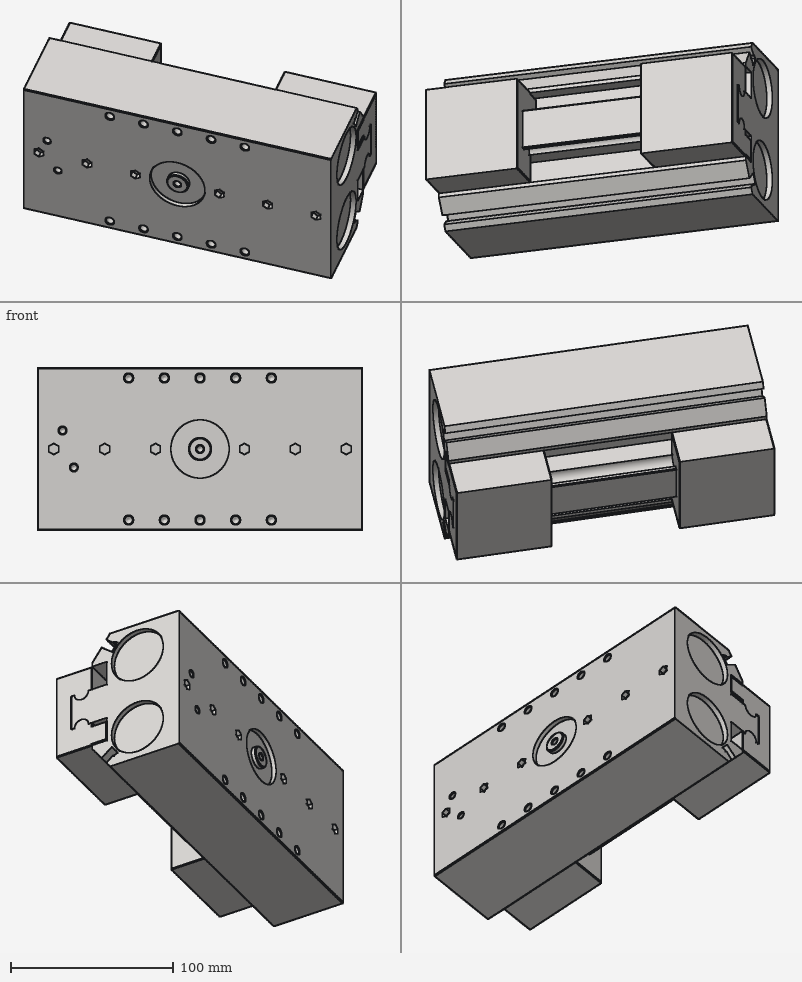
import cadquery as cq
import math


LENGTH = 200.0
DEPTH = 88.0
WIDTH = 100.0

FLANGE_Y = 62.5
CHANNEL_Y = 52.0
CHANNEL_WIDTH = 59.2
FRONT_CHAMFER = 0.5

END_RECESS_RADIUS = 18.5
END_RECESS_DEPTH = 3.5
END_RECESS_Y = 30.0
END_RECESS_Z = 27.0

RAIL_WIDTH = 25.0
RAIL_SEAT_Y = 47.8
RAIL_TOP_Y = 77.5
RAIL_CHAMFER = 0.5
GROOVE_RADIUS = 5.0
GROOVE_Y = 70.0

BOSS_RECESS_DIAMETER = 36.0
BOSS_RECESS_DEPTH = 3.0
BOSS_DIAMETER = 14.0
BOSS_CHAMFER = 0.5

DRILL_POINT_ANGLE = 118.0
HOLE_CHAMFER = 0.5
MOUNT_HOLE_DIAMETER = 5.0
MOUNT_HOLE_DEPTH = 12.0
MOUNT_HOLE_PITCH = 22.0
MOUNT_HOLE_COUNT = 5
MOUNT_ROW_Z = 43.8
SMALL_HOLE_DIAMETER = 4.2
SMALL_HOLE_DEPTH = 10.0
SIDE_HOLES = [(-84.8, 11.5), (-77.8, -11.5)]

SCREW_HEAD_DIAMETER = 13.5
SCREW_HEAD_HEIGHT = 6.0
SOCKET_ACROSS_FLATS = 6.0
SOCKET_DEPTH = 4.0
SCREW_FIRST_X = 27.5
SCREW_PITCH = 31.5
SCREWS_PER_SIDE = 3

CARRIAGE_LENGTH = 60.0
CARRIAGE_CHAMFER = 0.5
LEG_INNER_Z = 15.0
LEG_OUTER_Z = 28.8


def extrude_along_x(section, length):
    """Extrude a YZ section so that it is centred on X = 0."""
    return section.extrude(length).translate((-length / 2, 0, 0))


def bar(length, y_low, y_high, z_low, z_high):
    """Box centred on X = 0 between the given Y and Z limits."""
    size = (length, y_high - y_low, z_high - z_low)
    return cq.Workplane("XY").box(*size).translate((0, (y_low + y_high) / 2, (z_low + z_high) / 2))


def rod_pair(length):
    """Two round bars along X, centred on the flanks of the rail."""
    centres = [(GROOVE_Y, -RAIL_WIDTH / 2), (GROOVE_Y, RAIL_WIDTH / 2)]
    return extrude_along_x(cq.Workplane("YZ").pushPoints(centres).circle(GROOVE_RADIUS), length)


def turned_about_y(profile, x, z):
    """Revolve a (radius, depth) profile about an axis parallel to Y through (x, z)."""
    turned = cq.Workplane("XY").polyline(profile).close().revolve(360, (0, 0, 0), (0, 1, 0))
    return turned.translate((x, 0, z))


def drilled_hole(x, z, diameter, depth):
    """Cutter for a blind drilled hole from Y = 0, with a chamfered mouth and a conical end."""
    radius = diameter / 2
    point_depth = radius / math.tan(math.radians(DRILL_POINT_ANGLE / 2))
    profile = [
        (0, 0),
        (radius + HOLE_CHAMFER, 0),
        (radius, HOLE_CHAMFER),
        (radius, depth),
        (0, depth + point_depth),
    ]
    return turned_about_y(profile, x, z)


def housing_blank():
    """Symmetric housing section with a dovetail-like slot along each side."""
    half_section = [
        (0, WIDTH / 2 - FRONT_CHAMFER),
        (FRONT_CHAMFER, WIDTH / 2),
        (49.5, WIDTH / 2),
        (52.2, 46.5),
        (47.5, 42.5),
        (47.0, 43.0),
        (44.2, 41.5),
        (48.2, 35.8),
        (55.5, 41.5),
        (FLANGE_Y, 32.2),
        (FLANGE_Y, CHANNEL_WIDTH / 2),
        (CHANNEL_Y, CHANNEL_WIDTH / 2),
    ]
    other_half = [(y, -z) for y, z in reversed(half_section)]
    return extrude_along_x(cq.Workplane("YZ").polyline(half_section + other_half).close(), LENGTH)


def rail_bar():
    """Rail outline along the full length, before its grooves and end chamfers."""
    blank = bar(LENGTH, RAIL_SEAT_Y, RAIL_TOP_Y, -RAIL_WIDTH / 2, RAIL_WIDTH / 2)
    return blank.edges("|X and >Y").chamfer(RAIL_CHAMFER)


def make_rail():
    """Rail with a round groove along each flank."""
    rail = rail_bar().faces(">Y").edges("|Z").chamfer(RAIL_CHAMFER)
    return rail.cut(rod_pair(LENGTH))


def end_recess(x, z):
    """Cutter for a shallow round recess in a housing end, centred on that end face."""
    recess = cq.Workplane("YZ").center(END_RECESS_Y, z).circle(END_RECESS_RADIUS)
    return recess.extrude(END_RECESS_DEPTH, both=True).translate((x, 0, 0))


def boss_ring():
    """Cutter for the central recess that leaves its chamfered boss standing."""
    boss_radius = BOSS_DIAMETER / 2
    recess_radius = BOSS_RECESS_DIAMETER / 2
    profile = [
        (boss_radius - BOSS_CHAMFER, 0),
        (recess_radius, 0),
        (recess_radius, BOSS_RECESS_DEPTH),
        (boss_radius, BOSS_RECESS_DEPTH),
        (boss_radius, BOSS_CHAMFER),
    ]
    return turned_about_y(profile, 0, 0)


def screw_head(x):
    """Solid cylinder of a screw head, its outer face on the mounting face."""
    return cq.Workplane("XZ").center(x, 0).circle(SCREW_HEAD_DIAMETER / 2).extrude(-SCREW_HEAD_HEIGHT)


def hexagon_socket(x):
    """Cutter for a hexagon socket with two upright sides."""
    across_corners = SOCKET_ACROSS_FLATS / math.cos(math.pi / 6)
    sketch_plane = cq.Workplane("XZ").center(x, 0).transformed(rotate=(0, 0, 30))
    return sketch_plane.polygon(6, across_corners).extrude(-SOCKET_DEPTH)


def make_housing():
    """Housing with its rail and rail screws as one body."""
    housing = housing_blank()

    for x in (-LENGTH / 2, LENGTH / 2):
        for z in (-END_RECESS_Z, END_RECESS_Z):
            housing = housing.cut(end_recess(x, z))

    housing = housing.cut(boss_ring())
    housing = housing.cut(drilled_hole(0, 0, SMALL_HOLE_DIAMETER, SMALL_HOLE_DEPTH))

    for x, z in SIDE_HOLES:
        housing = housing.cut(drilled_hole(x, z, SMALL_HOLE_DIAMETER, SMALL_HOLE_DEPTH))
    for i in range(MOUNT_HOLE_COUNT):
        x = (i - (MOUNT_HOLE_COUNT - 1) / 2) * MOUNT_HOLE_PITCH
        for z in (-MOUNT_ROW_Z, MOUNT_ROW_Z):
            housing = housing.cut(drilled_hole(x, z, MOUNT_HOLE_DIAMETER, MOUNT_HOLE_DEPTH))

    rail = make_rail()
    housing = housing.cut(rail).union(rail, clean=False)

    for i in range(SCREWS_PER_SIDE):
        for side in (-1, 1):
            x = side * (SCREW_FIRST_X + i * SCREW_PITCH)
            head = screw_head(x)
            housing = housing.cut(head, clean=False)
            housing = housing.union(head.cut(hexagon_socket(x)), clean=False)
    return housing


def make_carriage(x_centre, leg_side):
    """Block astride the rail with one leg reaching into the channel on the given Z side."""
    half_width = CHANNEL_WIDTH / 2
    block = bar(CARRIAGE_LENGTH, FLANGE_Y, DEPTH, -half_width, half_width)
    z_low, z_high = sorted((leg_side * LEG_INNER_Z, leg_side * LEG_OUTER_Z))
    leg = bar(CARRIAGE_LENGTH, CHANNEL_Y, RAIL_TOP_Y, z_low, z_high)
    tongues = rod_pair(CARRIAGE_LENGTH)
    carriage = block.union(leg).faces("<X or >X").edges().chamfer(CARRIAGE_CHAMFER)
    carriage = carriage.cut(rail_bar().translate((-x_centre, 0, 0))).cut(tongues)
    return carriage.union(tongues, clean=False).translate((x_centre, 0, 0))


carriage_x = (LENGTH - CARRIAGE_LENGTH) / 2
housing = make_housing()
carriages = [make_carriage(side * carriage_x, side) for side in (-1, 1)]

result = cq.Compound.makeCompound([housing.solids().val(), *[carriage.solids().val() for carriage in carriages]])